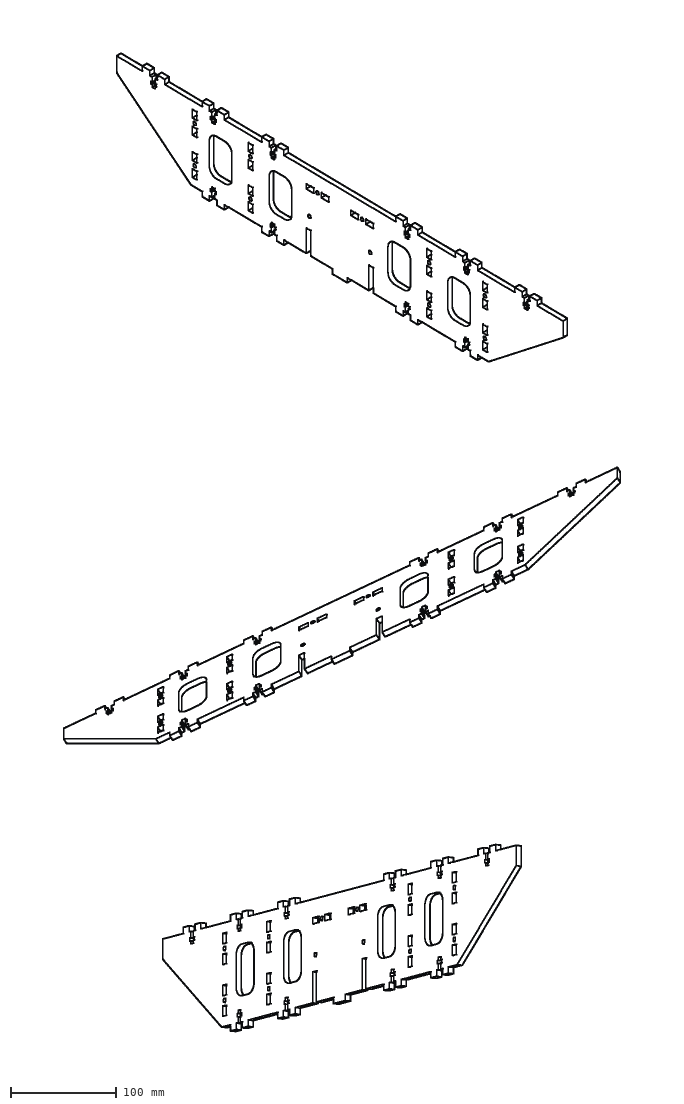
import cadquery as cq

length = 600.0
thickness = 6.0
body_height = 100.0
end_height = 20.0
bottom_length = 400.0

joint_span = 30.0
tab_width = joint_span / 3
tab_height = thickness
inner_joint_place = 90.0
outer_joint_place = 250.0
centre_tab_width = 2 * tab_width

bolt_width = 4.0
bolt_depth = 12.0
nut_width = 7.0
nut_thickness = 3.0
nut_depth = 6.0

bolt_hole_diameter = 4.0
upright_places = (120.0, 195.0)
flat_place = 30.0
flat_depth = 21.0

window_places = (80.0, 160.0)
window_width = 30.0
window_height = 50.0
window_radius = 9.5

notch_place = 42.0
notch_width = thickness
notch_depth = 30.0
pilot_place = 41.0
pilot_height = -4.0

top = body_height / 2
bottom = -top
tab_pitch = joint_span - tab_width
middle_joint_place = (inner_joint_place + outer_joint_place) / 2
bottom_joint_places = (inner_joint_place, middle_joint_place)
top_joint_places = (*bottom_joint_places, outer_joint_place)
upright_height = body_height / 4


def both_sides(places):
    """The places along X and their mirror images."""
    return [side * place for place in places for side in (-1, 1)]


def block(x, z, width, height):
    """A block through the plate's thickness, centred at x, z."""
    return cq.Workplane("XY").box(width, thickness, height).translate((x, 0, z))


def bolt_hole(x, z):
    """A round bar through the plate's thickness, for cutting a bolt hole."""
    bar = cq.Workplane("XZ").circle(bolt_hole_diameter / 2).extrude(thickness / 2, both=True)
    return bar.translate((x, 0, z))


def make_body():
    outline = [
        (-length / 2, top),
        (length / 2, top),
        (length / 2, top - end_height),
        (bottom_length / 2, bottom),
        (-bottom_length / 2, bottom),
        (-length / 2, top - end_height),
    ]
    return cq.Workplane("XZ").polyline(outline).close().extrude(thickness / 2, both=True)


def add_joint(plate, x, edge, outward):
    """Tabs and a T-shaped bolt and nut slot at an edge; outward is +1 at the top, -1 at the bottom."""
    for side in (-1, 1):
        tab_x = x + side * tab_pitch / 2
        tab_z = edge + outward * tab_height / 2
        plate = plate.union(block(tab_x, tab_z, tab_width, tab_height))
    bolt_z = edge - outward * bolt_depth / 2
    nut_z = edge - outward * (nut_depth + nut_thickness / 2)
    plate = plate.cut(block(x, bolt_z, bolt_width, bolt_depth))
    return plate.cut(block(x, nut_z, nut_width, nut_thickness))


def cut_upright_openings(plate, x, z):
    for side in (-1, 1):
        plate = plate.cut(block(x, z + side * tab_pitch / 2, thickness, tab_width))
    return plate.cut(bolt_hole(x, z))


def cut_flat_openings(plate, x, z):
    for side in (-1, 1):
        plate = plate.cut(block(x + side * tab_pitch / 2, z, tab_width, thickness))
    return plate.cut(bolt_hole(x, z))


def cut_window(plate, x):
    opening = block(x, 0, window_width, window_height).edges("|Y").fillet(window_radius)
    return plate.cut(opening)


result = make_body()
for x in both_sides(top_joint_places):
    result = add_joint(result, x, top, 1)
for x in both_sides(bottom_joint_places):
    result = add_joint(result, x, bottom, -1)
result = result.union(block(0, bottom - tab_height / 2, centre_tab_width, tab_height))

for x in both_sides(upright_places):
    for z in (-upright_height, upright_height):
        result = cut_upright_openings(result, x, z)
for x in both_sides([flat_place]):
    result = cut_flat_openings(result, x, top - flat_depth)
for x in both_sides(window_places):
    result = cut_window(result, x)
for x in both_sides([notch_place]):
    result = result.cut(block(x, bottom + notch_depth / 2, notch_width, notch_depth))
for x in both_sides([pilot_place]):
    result = result.cut(bolt_hole(x, pilot_height))